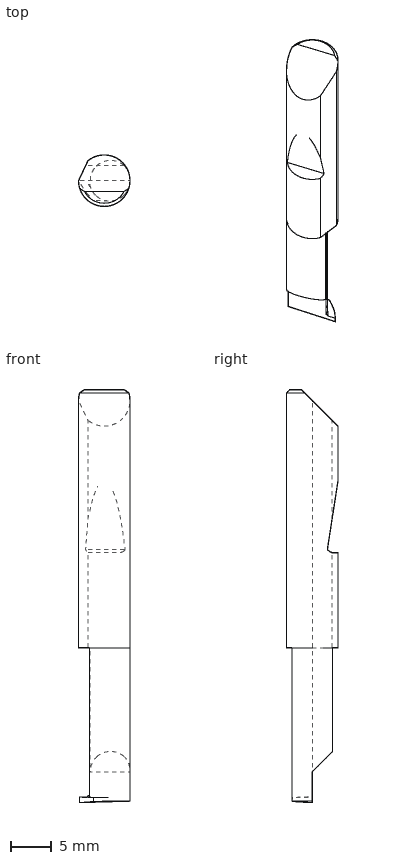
import cadquery as cq
import math


overall_length = 50.8
shank_diameter = 6.35
neck_length = 19.05
neck_radius = 2.5
neck_back_relief = 0.1

top_chamfer = 0.4
bevel_land_edge_y = -1.31
side_flat_end_angle = 129.5
notch_start_drop = 11.25
notch_bottom_drop = 20.05
notch_depth = 1.3
notch_slope_height = 8.4
notch_corner_radius = 0.7

rake_flat_length = 3.81
tooth_tip_x = -3.05
tooth_height = 0.72
tooth_top_drop = 0.05
flank_mid = (-2.55, -1.0)
heel = (-1.86, -1.86)
heel_end = (-1.35, -2.42)
root_height = 0.25
root_length = 0.7
end_slope_x = 0.03
end_slope_y = 0.04

shank_radius = shank_diameter / 2
neck_center_x = shank_radius - neck_radius
neck_side_x = neck_center_x - neck_radius
tooth_root_z = tooth_height - tooth_top_drop
clearance = 1.0


def side_prism(points):
    """Prism along X, across the whole part, from (y, z) points."""
    return cq.Workplane("YZ").polyline(points).close().extrude(shank_diameter, both=True)


def make_shank():
    shank = (
        cq.Workplane("XY", origin=(0, 0, neck_length))
        .circle(shank_radius)
        .extrude(overall_length - neck_length)
        .faces(">Z")
        .chamfer(top_chamfer)
    )
    return shank.cut(top_bevel()).cut(side_flat()).cut(clamping_notch())


def top_bevel():
    """Everything above the 45 degree plane that slopes down towards +Y."""
    far_y = shank_radius + clearance
    near_y = bevel_land_edge_y - clearance
    return side_prism([
        (near_y, overall_length + clearance),
        (far_y, overall_length + clearance),
        (far_y, overall_length - (far_y - bevel_land_edge_y)),
    ])


def side_flat():
    """Block beyond the chord that flattens the -X, +Y side of the shank."""
    normal_angle = (180 + side_flat_end_angle) / 2
    half_span = (180 - side_flat_end_angle) / 2
    flat_distance = shank_radius * math.cos(math.radians(half_span))
    return (
        cq.Workplane("XY", origin=(0, 0, neck_length))
        .center(flat_distance + shank_radius / 2, 0)
        .rect(shank_radius, shank_diameter)
        .extrude(overall_length - neck_length)
        .rotate((0, 0, 0), (0, 0, 1), normal_angle)
    )


def clamping_notch():
    """Sloping notch in the +Y side, rounded where it meets its lower wall."""
    start_z = overall_length - notch_start_drop
    bottom_z = overall_length - notch_bottom_drop
    floor_y = shank_radius - notch_depth
    deep_z = start_z - notch_slope_height
    outer_y = shank_radius + clearance
    corner_y = floor_y + notch_corner_radius
    bend = notch_corner_radius * (1 - math.sqrt(0.5))
    return (
        cq.Workplane("YZ")
        .moveTo(shank_radius, start_z)
        .lineTo(floor_y, deep_z)
        .threePointArc((floor_y + bend, bottom_z + bend), (corner_y, bottom_z))
        .lineTo(outer_y, bottom_z)
        .lineTo(outer_y, start_z)
        .close()
        .extrude(shank_diameter, both=True)
    )


def half_cylinder(center_x, side):
    """Half of a neck-sized cylinder, on the +Y side (side = 1) or the -Y side (side = -1)."""
    return (
        cq.Workplane("XY")
        .moveTo(center_x - neck_radius, 0)
        .threePointArc((center_x, side * neck_radius), (center_x + neck_radius, 0))
        .close()
        .extrude(neck_length)
    )


def make_neck():
    """Front half and slightly set-back rear half, with the rear cut away above the tooth."""
    back_center_x = neck_center_x + neck_back_relief
    front = half_cylinder(neck_center_x, -1)
    back = half_cylinder(back_center_x, 1).intersect(
        cq.Workplane("XY").circle(shank_radius).extrude(neck_length)
    )
    back_y = neck_radius + clearance
    rake_cut = side_prism([
        (0, -clearance),
        (back_y, -clearance),
        (back_y, rake_flat_length + back_y),
        (0, rake_flat_length),
    ])
    return front.union(back.cut(rake_cut))


def make_tooth():
    """Tooth on the -X side: plan outline trimmed by its gently falling upper face."""
    outline = (
        cq.Workplane("XY")
        .moveTo(tooth_tip_x, 0)
        .threePointArc(flank_mid, heel)
        .lineTo(*heel_end)
        .lineTo(neck_center_x, -neck_radius)
        .lineTo(neck_center_x, 0)
        .close()
        .extrude(tooth_height)
    )
    profile = (
        cq.Workplane("XZ")
        .moveTo(tooth_tip_x, 0)
        .lineTo(tooth_tip_x, tooth_height)
        .lineTo(neck_side_x, tooth_root_z)
        .lineTo(neck_center_x, tooth_root_z)
        .lineTo(neck_center_x, 0)
        .close()
        .extrude(neck_radius)
    )
    return outline.intersect(profile).union(root_cone())


def root_cone():
    """Cone along the corner between tooth and neck, fading out away from the rake face."""
    return (
        cq.Workplane("XY", origin=(neck_side_x, 0, tooth_root_z))
        .lineTo(root_height, 0)
        .lineTo(0, -root_length)
        .close()
        .revolve(360, (0, 0), (0, -root_length))
    )


def end_relief():
    """Half space below the end face, which rises from the tooth tip towards +X and -Y."""
    plane = cq.Plane(
        origin=(tooth_tip_x, 0, 0),
        xDir=(1, 0, end_slope_x),
        normal=(-end_slope_x, end_slope_y, 1),
    )
    cutter_width = 4 * shank_diameter
    return cq.Workplane(plane).rect(cutter_width, cutter_width).extrude(-clearance)


result = make_shank().union(make_neck()).union(make_tooth()).cut(end_relief())